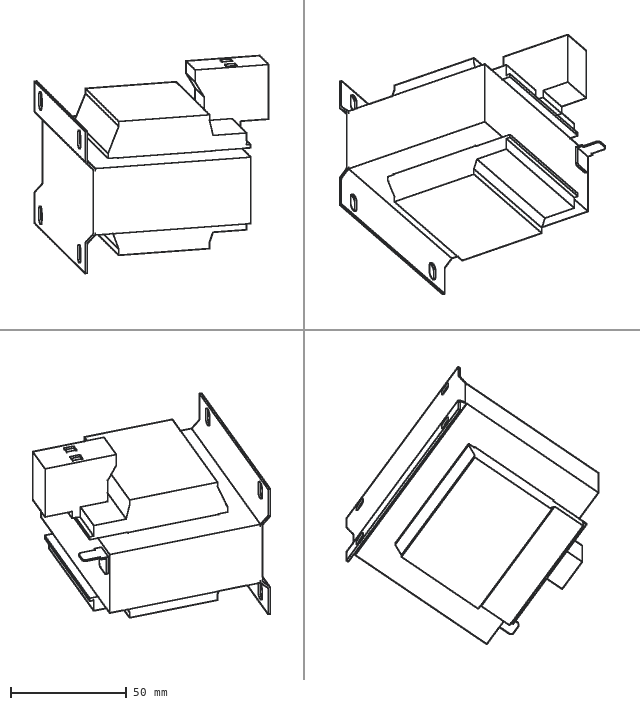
import cadquery as cq
import math


width = 84.0
depth = 92.9

plate_half_height = 32.0
plate_thickness = 1.0
plate_web_y = 3.6
plate_web_half_height = 14.5
bend_inner_radius = 1.0
bend_outer_radius = bend_inner_radius + plate_thickness
bend_angle = 45.0
slot_x = 32.05
slot_z = 25.7
slot_length = 8.1
slot_width = 4.8

core_front = plate_web_y + plate_thickness
core_back = 74.5
core_half_height = 15.0
window_front = 18.7
window_back = 60.7
window_clearance = 0.4

coil_half_width = 27.6
flange_back = 78.3
flange_thickness = 1.5
shoulder_back = 76.5
shoulder_z = 21.8
coil_back_foot = 61.4
coil_back = 59.8
coil_front = 19.0
upper_coil_top = 31.2
upper_back_slope_end = 28.7
upper_front_slope_end = 29.0
upper_front_foot = 14.2
upper_foot_z = 17.2
lower_coil_bottom = 29.1
lower_slope_end = 26.3
lower_front_foot = 15.7
lower_foot_z = 17.0

block_x = -3.8
block_width = 15.1
block_top = 45.0
block_underside = 20.3
block_nose_front = coil_back
block_nose_z = 39.5
block_front = 63.8
block_slope_foot_z = 32.5
block_foot_back = 80.3
block_foot_z = 16.8
pocket_spacing = 7.5
pocket_width = 3.4
pocket_front = 74.6
pocket_back = 79.2
pocket_depth = 1.0

tab_x = -36.0
tab_thickness = 0.7
tab_leg_thickness = 1.0
tab_base_width = 8.5
tab_base_back = 77.85
tab_blade_width = 6.2
tab_tip = 85.75
tab_chamfer = 0.9
tab_top = 12.8
tab_leg_bottom = 3.5


def extrude_along_x(points, x_middle, x_width):
    """Prism with a Y-Z outline, centred on x_middle."""
    outline = cq.Workplane("YZ", origin=(x_middle, 0, 0)).polyline(points).close()
    return outline.extrude(x_width / 2, both=True)


def box(x_range, y_range, z_range):
    """Box between the given limits."""
    size = [high - low for low, high in (x_range, y_range, z_range)]
    corner = (x_range[0], y_range[0], z_range[0])
    return cq.Workplane("XY").box(*size, centered=False).translate(corner)


def make_plate():
    """Mounting plate: a raised web with two bent flanges, each with two slots."""
    bend_rise = plate_web_y / math.tan(math.radians(bend_angle))
    flange_z = plate_web_half_height + bend_rise
    miter = plate_thickness * math.tan(math.radians(bend_angle / 2))
    upper_front = [(plate_web_y, plate_web_half_height), (0, flange_z), (0, plate_half_height)]
    upper_back = [
        (plate_thickness, plate_half_height),
        (plate_thickness, flange_z + miter),
        (core_front, plate_web_half_height + miter),
    ]
    upper = upper_front + upper_back
    lower = [(y, -z) for y, z in reversed(upper)]
    plate = extrude_along_x(upper + lower, 0, width)

    inner_bends = [upper_front[0], upper_back[1]]
    outer_bends = [upper_front[1], upper_back[2]]
    for corners, radius in ((inner_bends, bend_inner_radius), (outer_bends, bend_outer_radius)):
        for y, z in corners:
            for side in (1, -1):
                plate = plate.edges(cq.NearestToPointSelector((0, y, side * z))).fillet(radius)

    slots = (
        cq.Workplane("XZ")
        .rect(2 * slot_x, 2 * slot_z, forConstruction=True)
        .vertices()
        .slot2D(slot_length, slot_width, 90)
        .extrude(-plate_thickness)
    )
    return plate.cut(slots)


def make_core():
    """Core block with a narrow gap on each side of the coil, right through its height."""
    half_width = width / 2
    z_range = (-core_half_height, core_half_height)
    core = box((-half_width, half_width), (core_front, core_back), z_range)
    gap_outer = coil_half_width + window_clearance
    for x_range in ((coil_half_width, gap_outer), (-gap_outer, -coil_half_width)):
        core = core.cut(box(x_range, (window_front, window_back), z_range))
    return core


def make_coil():
    """Upper and lower halves of the coil former, standing on the core faces."""
    flange_z = core_half_height + flange_thickness
    shoulder = [
        (flange_back, core_half_height),
        (flange_back, flange_z),
        (shoulder_back, flange_z),
        (shoulder_back, shoulder_z),
        (coil_back_foot, shoulder_z),
    ]
    upper = shoulder + [
        (coil_back, upper_back_slope_end),
        (coil_back, upper_coil_top),
        (coil_front, upper_coil_top),
        (coil_front, upper_front_slope_end),
        (upper_front_foot, upper_foot_z),
        (upper_front_foot, core_half_height),
    ]
    lower = shoulder + [
        (coil_back, lower_slope_end),
        (coil_back, lower_coil_bottom),
        (coil_front, lower_coil_bottom),
        (coil_front, lower_slope_end),
        (lower_front_foot, lower_foot_z),
        (lower_front_foot, core_half_height),
    ]
    lower = [(y, -z) for y, z in lower]
    coil_width = 2 * coil_half_width
    return extrude_along_x(upper, 0, coil_width).union(extrude_along_x(lower, 0, coil_width))


def make_terminal_block():
    """Terminal block hooked over the back shoulder, with two shallow pockets on top."""
    outline = [
        (depth, block_top),
        (block_nose_front, block_top),
        (block_nose_front, block_nose_z),
        (block_front, block_slope_foot_z),
        (block_front, shoulder_z),
        (shoulder_back, shoulder_z),
        (shoulder_back, block_foot_z),
        (block_foot_back, block_foot_z),
        (block_foot_back, block_underside),
        (depth, block_underside),
    ]
    block = extrude_along_x(outline, block_x, block_width)
    for side in (-1, 1):
        pocket_x = block_x + side * pocket_spacing / 2
        x_range = (pocket_x - pocket_width / 2, pocket_x + pocket_width / 2)
        pocket = box(x_range, (pocket_front, pocket_back), (block_top - pocket_depth, block_top))
        block = block.cut(pocket)
    return block


def make_earth_tab():
    """Angle tab on the back of the core: a leg down the core and a blade pointing back."""
    base_x = (tab_x - tab_base_width / 2, tab_x + tab_base_width / 2)
    blade_x = (tab_x - tab_blade_width / 2, tab_x + tab_blade_width / 2)
    blade_z = (tab_top - tab_thickness, tab_top)
    leg = box(base_x, (core_back, core_back + tab_leg_thickness), (tab_leg_bottom, tab_top))
    leg = leg.edges("|Y and <Z").chamfer(tab_chamfer)
    base = box(base_x, (core_back, tab_base_back), blade_z)
    blade = box(blade_x, (core_back, tab_tip), blade_z)
    blade = blade.edges("|Z and >Y").chamfer(tab_chamfer)
    return leg.union(base).union(blade)


result = (
    make_core()
    .union(make_plate())
    .union(make_coil())
    .union(make_terminal_block())
    .union(make_earth_tab())
)